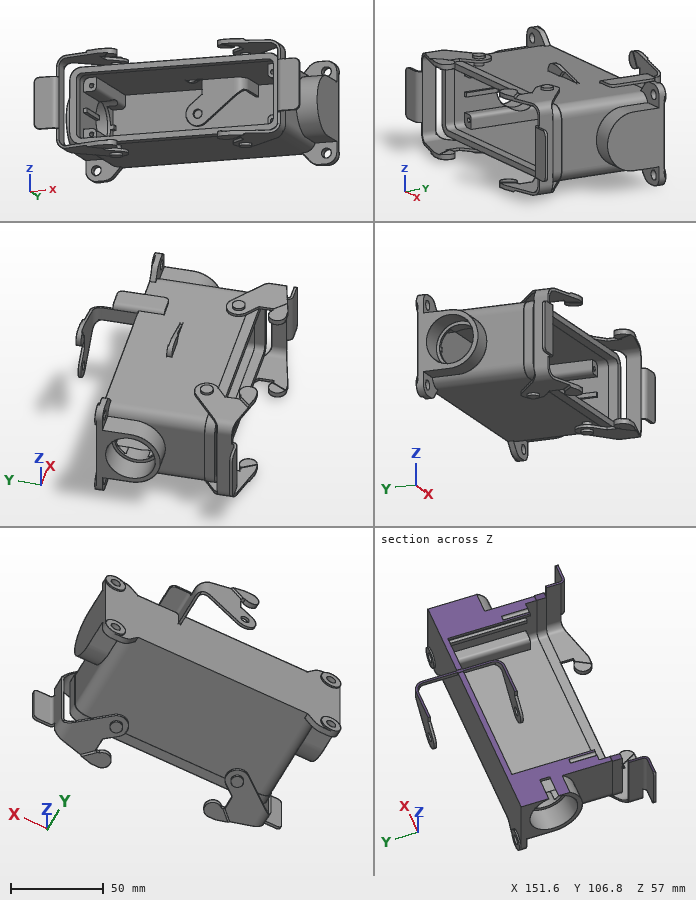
import cadquery as cq
import math


body_half_x = 59.7
body_half_z = 21.4
corner_radius = 6.8
wall = 3.3
body_front_y = -57.3
cavity_half_x = body_half_x - wall
cavity_half_z = body_half_z - wall
cavity_corner_radius = corner_radius - wall

rim_front_y = -62.9
rim_half_x = body_half_x + 0.5

post_inner_x = 49.1
post_inner_z = 10.3
post_corner_radius = 2.5
post_front_y = -51.0
screw_x = 51.8
screw_z = 13.5
screw_hole_diameter = 2.5
screw_hole_depth = 15.2
key_height = 2.0
key_width = 2.5

port_half_x = 71.9
port_y = -19.0
port_radius = 16.5
bore_diameter = 27.6
lip_diameter = 24.0
lip_thickness = wall / 2

lug_thickness = 3.3
lug_pad_diameter = 12.0
lug_pad_thickness = 0.9
lug_hole_diameter = 5.5
lug_corner_radius = lug_pad_diameter / 2
lug_hole_x = port_half_x - lug_corner_radius
lug_top_z = 28.5
lug_hole_z = lug_top_z - lug_corner_radius
lug_flat_end_x = 61.7
lug_shoulder_radius = 7.7
lug_slope_angle = math.radians(48)

pivot_x = 37.0
pivot_y = -53.0
sheet = 1.5
lever_half_z = 25.8
lever_bend_radius = 6.0
lever_hole_diameter = 5.0
eye_radius = 6.7
neck_angle = math.radians(39)
spine_x = -27.1
spine_near_y = -12.1
spine_far_y = -20.3
mouth_x = -2.6
mouth_y = -19.0
hook_tip_radius = 4.9
hook_tip_x = 3.2
hook_far_y = -27.1
hook_tip_y = hook_far_y + hook_tip_radius
hook_flat_x = -1.0
back_slope = math.radians(15)
hook_outer_rise = 0.9
hook_outer_turn = -45
hook_inner_rise = 0.5
hook_inner_turn = 30
tab_end_x = -38.8
tab_half_z = 14.3
tab_corner_radius = 2.9
tab_bend_radius = 1.7
hook_block = 18.2

rivet_shoulder_diameter = 5.5
rivet_shank_diameter = 4.9
rivet_head_diameter = 7.0
rivet_head_height = 1.4

stray_lever_z = -0.6


def rounded_bar(half_x, half_z, radius, front_y, rear_y):
    """Rectangular bar along Y with rounded long edges."""
    return (
        cq.Workplane("XZ", origin=(0, rear_y, 0))
        .rect(2 * half_x, 2 * half_z)
        .extrude(rear_y - front_y)
        .edges("|Y")
        .fillet(radius)
    )


def cylinder_z(diameter, x, y, low_z, high_z):
    return cq.Workplane("XY", origin=(x, y, low_z)).circle(diameter / 2).extrude(high_z - low_z)


def cylinder_y(diameter, x, z, front_y, rear_y):
    return cq.Workplane("XZ", origin=(x, rear_y, z)).circle(diameter / 2).extrude(rear_y - front_y)


def cylinder_x(diameter, low_x, high_x):
    """Cylinder on the axis of the cable ports."""
    return cq.Workplane("YZ", origin=(low_x, port_y, 0)).circle(diameter / 2).extrude(high_x - low_x)


def in_four_corners(feature):
    """Repeat a feature built in the +X +Z corner in all four corners."""
    pair = feature.union(feature.mirror("YZ"))
    return pair.union(pair.mirror("XY"))


def port_boss():
    """D-shaped boss on the +X side, flush with the rear face."""
    root_x = cavity_half_x
    return (
        cq.Workplane("YZ", origin=(root_x, 0, 0))
        .moveTo(0, -port_radius)
        .lineTo(0, port_radius)
        .lineTo(port_y, port_radius)
        .threePointArc((port_y - port_radius, 0), (port_y, -port_radius))
        .close()
        .extrude(port_half_x - root_x)
    )


def lug():
    """Mounting lug of the +X +Z corner with its round rear pad."""
    shoulder_z = lug_top_z - lug_shoulder_radius
    half_slope = lug_slope_angle / 2
    shoulder_mid = (
        lug_flat_end_x - lug_shoulder_radius * math.sin(half_slope),
        shoulder_z + lug_shoulder_radius * math.cos(half_slope),
    )
    shoulder_end = (
        lug_flat_end_x - lug_shoulder_radius * math.sin(lug_slope_angle),
        shoulder_z + lug_shoulder_radius * math.cos(lug_slope_angle),
    )
    root_z = cavity_half_z
    slope_end_x = shoulder_end[0] - (shoulder_end[1] - root_z) / math.tan(lug_slope_angle)
    corner_mid = lug_corner_radius * math.sqrt(0.5)
    plate = (
        cq.Workplane("XZ")
        .moveTo(slope_end_x, root_z)
        .lineTo(*shoulder_end)
        .threePointArc(shoulder_mid, (lug_flat_end_x, lug_top_z))
        .lineTo(lug_hole_x, lug_top_z)
        .threePointArc((lug_hole_x + corner_mid, lug_hole_z + corner_mid), (port_half_x, lug_hole_z))
        .lineTo(port_half_x, 0)
        .lineTo(slope_end_x, 0)
        .close()
        .extrude(lug_thickness)
    )
    pad = cylinder_y(lug_pad_diameter, lug_hole_x, lug_hole_z, -lug_thickness, lug_pad_thickness)
    return plate.union(pad)


def screw_post():
    """Post in the +X +Z corner of the cavity, running forward from the rear wall."""
    size_x = cavity_half_x + wall / 2 - post_inner_x
    size_z = cavity_half_z + wall / 2 - post_inner_z
    return (
        cq.Workplane("XZ", origin=(0, -wall / 2, 0))
        .center(post_inner_x + size_x / 2, post_inner_z + size_z / 2)
        .rect(size_x, size_z)
        .extrude(-wall / 2 - post_front_y)
        .edges("|Y and <X and <Z")
        .fillet(post_corner_radius)
        .intersect(rounded_bar(body_half_x, body_half_z, corner_radius, post_front_y, 0))
    )


def coding_key():
    """Ridge along the middle of the +X cavity wall."""
    root_x = cavity_half_x + wall / 2
    tip_x = cavity_half_x - key_height
    length = -wall / 2 - post_front_y
    return cq.Workplane("XY").box(root_x - tip_x, length, key_width).translate(
        ((root_x + tip_x) / 2, post_front_y + length / 2, 0)
    )


def rivet():
    """Rivet of the +X +Z corner, standing on the wide wall."""
    shoulder_top_z = lever_half_z - sheet
    head_top_z = lever_half_z + rivet_head_height
    shoulder = cylinder_z(rivet_shoulder_diameter, pivot_x, pivot_y, cavity_half_z, shoulder_top_z)
    shank = cylinder_z(rivet_shank_diameter, pivot_x, pivot_y, cavity_half_z, head_top_z)
    head = cylinder_z(rivet_head_diameter, pivot_x, pivot_y, lever_half_z, head_top_z)
    return shoulder.union(shank).union(head)


def make_housing():
    shell = rounded_bar(body_half_x, body_half_z, corner_radius, body_front_y, 0)
    shell = shell.union(port_boss()).union(port_boss().mirror("YZ")).union(in_four_corners(lug()))
    shell = shell.cut(
        rounded_bar(cavity_half_x, cavity_half_z, cavity_corner_radius, body_front_y, -wall)
    )
    shell = shell.union(in_four_corners(screw_post()))
    shell = shell.union(coding_key()).union(coding_key().mirror("YZ"))
    shell = shell.union(in_four_corners(rivet()))

    screw_hole = cylinder_y(
        screw_hole_diameter, screw_x, screw_z, post_front_y, post_front_y + screw_hole_depth
    )
    lug_hole = cylinder_y(lug_hole_diameter, lug_hole_x, lug_hole_z, -lug_thickness, lug_pad_thickness)
    shell = shell.cut(in_four_corners(screw_hole)).cut(in_four_corners(lug_hole))

    shell = shell.cut(cylinder_x(bore_diameter, -port_half_x, -cavity_half_x - lip_thickness))
    return shell.cut(cylinder_x(lip_diameter, -body_half_x, -post_inner_x))


def make_rim():
    """Frame that continues the housing walls to the mouth."""
    outer = rounded_bar(rim_half_x, body_half_z, corner_radius, rim_front_y, body_front_y)
    return outer.cut(
        rounded_bar(cavity_half_x, cavity_half_z, cavity_corner_radius, rim_front_y, body_front_y)
    )


def lever_outline(half_z):
    """Side outline of the lever arm and spine, as a block of the given half height."""
    eye_dx = eye_radius * math.sin(neck_angle)
    eye_dy = eye_radius * math.cos(neck_angle)
    neck_slope = math.tan(neck_angle)
    spine_start_x = -eye_dx - (eye_dy - spine_near_y) / neck_slope
    throat_y = -eye_dy - (eye_dx - mouth_x) * neck_slope
    back_end_x = hook_flat_x - (spine_far_y - hook_far_y) / math.tan(back_slope)
    lip_rise = mouth_y - hook_tip_y
    lip_x = hook_tip_x - math.sqrt(hook_tip_radius**2 - lip_rise**2)
    return (
        cq.Workplane("XY", origin=(0, 0, -half_z))
        .moveTo(-eye_dx, eye_dy)
        .threePointArc((eye_dy, eye_dx), (eye_dx, -eye_dy))
        .lineTo(mouth_x, throat_y)
        .lineTo(mouth_x, mouth_y)
        .lineTo(lip_x, mouth_y)
        .threePointArc((hook_tip_x + hook_tip_radius, hook_tip_y), (hook_tip_x, hook_far_y))
        .lineTo(hook_flat_x, hook_far_y)
        .lineTo(back_end_x, spine_far_y)
        .lineTo(spine_x, spine_far_y)
        .lineTo(spine_x, spine_near_y)
        .lineTo(spine_start_x, spine_near_y)
        .close()
        .extrude(2 * half_z)
    )


def u_block(inset):
    """Solid inside of the U bend, shrunk by an inset; its open end lies beyond the hooks."""
    left_x = spine_x + inset
    right_x = hook_tip_x + 2 * hook_tip_radius
    half_z = lever_half_z - inset
    return (
        cq.Workplane("XZ", origin=(0, eye_radius, 0))
        .center((left_x + right_x) / 2, 0)
        .rect(right_x - left_x, 2 * half_z)
        .extrude(eye_radius - hook_far_y)
        .edges("|Y and <X")
        .fillet(lever_bend_radius - inset)
    )


def hook_pad(start_x, turn, low_z, high_z, ramp):
    """Slab over the hook end, with a ramp along its edge, starting at the hook mouth."""
    profile = [(0, low_z), (hook_block, low_z), (hook_block, high_z), (ramp, high_z)]
    return (
        cq.Workplane("XZ")
        .polyline(profile)
        .close()
        .extrude(hook_block, both=True)
        .rotate((0, 0, 0), (0, 0, 1), turn)
        .translate((start_x, mouth_y, 0))
    )


def hook_thickening():
    """Material that thickens the +Z hook on its outer and inner faces."""
    outer_z = lever_half_z
    inner_z = lever_half_z - sheet
    inner_x = hook_tip_x - hook_tip_radius * math.sqrt(0.5)
    outer = hook_pad(mouth_x, hook_outer_turn, outer_z, outer_z + hook_outer_rise, hook_outer_rise)
    inner = hook_pad(inner_x, hook_inner_turn, inner_z - hook_inner_rise, inner_z, 0)
    hook_top_y = hook_tip_y + hook_tip_radius
    hook_zone = (
        cq.Workplane("XY")
        .box(4 * hook_block, hook_block, 4 * lever_half_z)
        .translate((0, hook_top_y - hook_block / 2, 0))
    )
    outline = lever_outline(lever_half_z + hook_outer_rise).intersect(hook_zone)
    return outer.union(inner).intersect(outline)


def lever_tab():
    """Finger tab bent outwards from the spine."""
    outer_radius = tab_bend_radius + sheet
    bend_x = spine_x - tab_bend_radius
    near_y = spine_far_y - tab_bend_radius
    far_y = spine_far_y - outer_radius
    diagonal = math.sqrt(0.5)
    return (
        cq.Workplane("XY", origin=(0, 0, -tab_half_z))
        .moveTo(spine_x, spine_far_y)
        .threePointArc(
            (bend_x + tab_bend_radius * diagonal, spine_far_y - tab_bend_radius * diagonal),
            (bend_x, near_y),
        )
        .lineTo(tab_end_x, near_y)
        .lineTo(tab_end_x, far_y)
        .lineTo(bend_x, far_y)
        .threePointArc(
            (bend_x + outer_radius * diagonal, spine_far_y - outer_radius * diagonal),
            (spine_x + sheet, spine_far_y),
        )
        .close()
        .extrude(2 * tab_half_z)
        .edges("|Y and <X")
        .fillet(tab_corner_radius)
    )


def make_lever():
    """Sheet-metal locking lever around its own pivot."""
    bow = u_block(0).cut(u_block(sheet)).intersect(lever_outline(lever_half_z))
    hook = hook_thickening()
    bow = bow.union(hook).union(hook.mirror("XY")).union(lever_tab())
    return bow.cut(cylinder_z(lever_hole_diameter, 0, 0, -lever_half_z, lever_half_z))


left_lever = make_lever().translate((-pivot_x, pivot_y, 0))
right_facing_lever = make_lever().rotate((0, 0, 0), (0, 1, 0), 180)
right_lever = right_facing_lever.translate((pivot_x, pivot_y, 0))
stray_lever = right_facing_lever.rotate((0, 0, 0), (1, 0, 0), -90).translate((0, 0, stray_lever_z))

rim = make_rim()
housing = make_housing().cut(stray_lever)

bodies = [housing, rim, left_lever, right_lever, stray_lever]
result = cq.Compound.makeCompound([body.solids().val() for body in bodies])